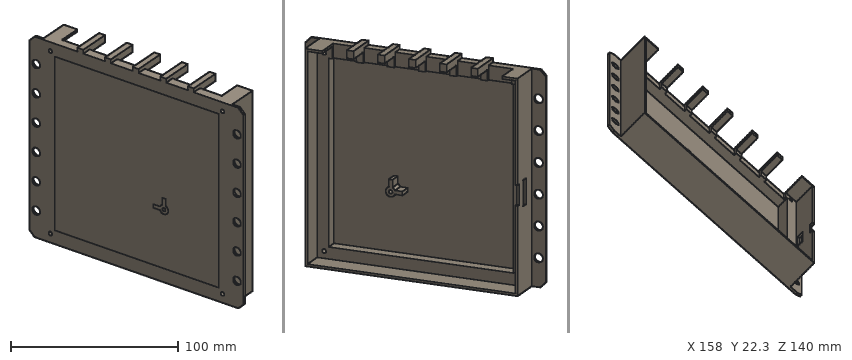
import cadquery as cq

plate_width = 158.0
plate_height = 137.3
plate_thickness = 1.6
plate_corner_chamfer = 3.8

body_width = 139.4
body_depth = 22.3
wall = 1.6

rim_depth = 8.2
rim_width = 9.2
skin = 0.5

rib_count = 5
rib_width = 4.5
rib_height = 5.0
rib_overhang = 2.7
slot_width = 16.0
slot_floor = 6.5
comb_center_x = -0.6
rib_pitch = rib_width + slot_width
comb_width = rib_count * rib_width + (rib_count + 1) * slot_width

mount_hole_diameter = 5.7
mount_hole_count = 6
mount_hole_pitch = 20.0
mount_hole_x = 74.1
screw_hole_diameter = 2.5
screw_hole_x = 63.5
screw_hole_inset = 6.2

window_y = 9.6
window_depth = 4.1
window_z = 54.2
window_height = 16.5
back_notch_depth = 2.2
back_notch_z = 56.9
back_notch_height = 13.1

boss_x = 19.9
boss_z = 49.5
boss_diameter = 6.3
boss_hole_diameter = 2.2
arm_length = 7.7
arm_width = 2.5


def block(x, y, z):
    """Box given by its (low, high) limits along each axis."""
    size = (x[1] - x[0], y[1] - y[0], z[1] - z[0])
    return cq.Workplane("XY").box(*size, centered=False).translate((x[0], y[0], z[0]))


def centered_block(width, y, z, center_x=0.0):
    """Box of the given width about center_x."""
    return block((center_x - width / 2, center_x + width / 2), y, z)


def pins(points, diameter, y):
    """Cylinders along Y at the given (x, z) points."""
    plane = cq.Workplane("XZ", origin=(0, y[0], 0))
    return plane.pushPoints(points).circle(diameter / 2).extrude(y[0] - y[1])


def make_plate():
    plate = centered_block(plate_width, (0, plate_thickness), (0, plate_height))
    return plate.edges("|Y").chamfer(plate_corner_chamfer)


def make_housing():
    return centered_block(body_width, (0, body_depth), (0, plate_height))


def make_interior():
    """Open-backed cavity plus the recess framed by the rim."""
    cavity = centered_block(body_width - 2 * wall, (rim_depth, body_depth), (wall, plate_height - wall))
    recess = centered_block(
        body_width - 2 * rim_width, (skin, rim_depth), (rim_width, plate_height - rim_width)
    )
    return cavity.union(recess)


def make_top_opening():
    """Clearance through the top wall and the upper rim."""
    return centered_block(
        comb_width, (slot_floor, body_depth), (plate_height - rim_width, plate_height), comb_center_x
    )


def make_ribs():
    top = plate_height + rib_overhang
    upper_rim = (plate_height - rim_width, plate_height)
    ribs = cq.Workplane("XY")
    for index in range(rib_count):
        x = comb_center_x + (index - (rib_count - 1) / 2) * rib_pitch
        ribs = ribs.add(centered_block(rib_width, (0, body_depth), (top - rib_height, top), x))
        ribs = ribs.add(centered_block(rib_width, (0, rim_depth), upper_rim, x))
    return ribs.combine()


def make_boss():
    span = (skin, rim_depth)
    half_arm = arm_width / 2
    side_arm = block((boss_x - arm_length, boss_x), span, (boss_z - half_arm, boss_z + half_arm))
    upper_arm = centered_block(arm_width, span, (boss_z, boss_z + arm_length), boss_x)
    center = [(boss_x, boss_z)]
    boss = pins(center, boss_diameter, span).union(side_arm).union(upper_arm)
    return boss.cut(pins(center, boss_hole_diameter, span))


def make_holes():
    through = (0, body_depth)
    middle_z = plate_height / 2
    mount_points = [
        (side * mount_hole_x, middle_z + (row - (mount_hole_count - 1) / 2) * mount_hole_pitch)
        for side in (-1, 1)
        for row in range(mount_hole_count)
    ]
    screw_points = [
        (side * screw_hole_x, z)
        for side in (-1, 1)
        for z in (screw_hole_inset, plate_height - screw_hole_inset)
    ]
    mount_holes = pins(mount_points, mount_hole_diameter, (0, plate_thickness))
    return mount_holes.add(pins(screw_points, screw_hole_diameter, through)).combine()


def make_side_openings():
    wall_x = (-body_width / 2, -body_width / 2 + wall)
    window = block(wall_x, (window_y, window_y + window_depth), (window_z, window_z + window_height))
    back_notch = block(
        wall_x, (body_depth - back_notch_depth, body_depth), (back_notch_z, back_notch_z + back_notch_height)
    )
    return window.add(back_notch).combine()


result = (
    make_plate()
    .union(make_housing())
    .cut(make_interior())
    .cut(make_top_opening())
    .union(make_ribs())
    .union(make_boss())
    .cut(make_holes())
    .cut(make_side_openings())
)